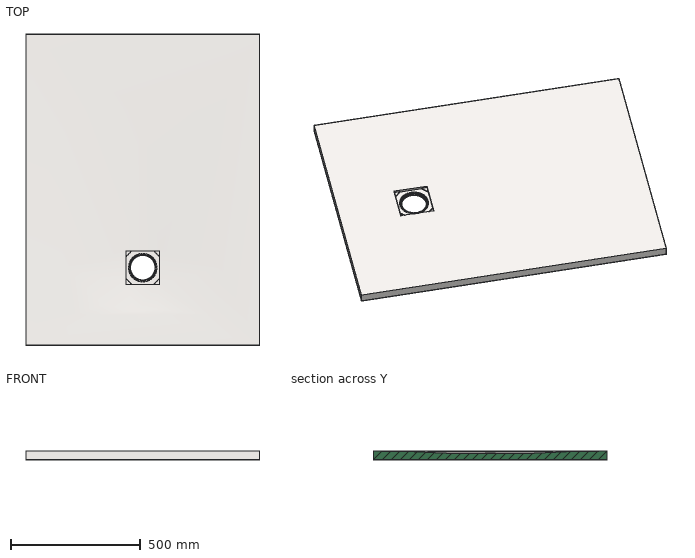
import cadquery as cq
import math

WIDTH = 900.0
LENGTH = 1200.0
HEIGHT = 35.0

DISH_DEPTH = 15.0
DRAIN_Y = -300.0
SURFACE_STEPS = 24
SURFACE_TOLERANCE = 0.01

RECESS_SIDE = 130.0
RECESS_DEPTH = 8.0
CORNER_DEPTH = 6.0
CORNER_LEG = 23.0

HOLE_DIAMETER = 95.0
TOOTH_TIP_DIAMETER = 103.0
TOOTH_ROOT_DIAMETER = 110.0
TOOTH_HEIGHT = 7.0
TOOTH_COUNT = 36

rim_z = HEIGHT - DISH_DEPTH
corner_z = rim_z - CORNER_DEPTH
floor_z = rim_z - RECESS_DEPTH
ledge_z = floor_z - TOOTH_HEIGHT


def dish_height(x, y):
    """Top height: a smooth bowl that rises from the drain to full height at the rim."""
    end_y = math.copysign(LENGTH / 2, y - DRAIN_Y)
    across = math.cos(math.pi / 2 * x / (WIDTH / 2)) ** 2
    along = math.cos(math.pi / 2 * (y - DRAIN_Y) / (end_y - DRAIN_Y)) ** 2
    return HEIGHT - DISH_DEPTH * across * along


def centered_steps(length):
    """Evenly spaced positions over a length centred on zero."""
    return [length * (i / SURFACE_STEPS - 0.5) for i in range(SURFACE_STEPS + 1)]


def dished_plate():
    """Plate whose whole top is one smooth bowl surface."""
    points = [
        [cq.Vector(x, y, dish_height(x, y)) for y in centered_steps(LENGTH)]
        for x in centered_steps(WIDTH)
    ]
    top = cq.Face.makeSplineApprox(points, tol=SURFACE_TOLERANCE, minDeg=3, maxDeg=5)
    column = cq.Workplane(cq.Solid.extrudeLinear(top, cq.Vector(0, 0, -2 * HEIGHT)))
    below_base = cq.Workplane().box(2 * WIDTH, 2 * LENGTH, 4 * HEIGHT).translate((0, 0, -2 * HEIGHT))
    return column.cut(below_base)


def drain_plane(z):
    """Horizontal workplane centred on the drain."""
    return cq.Workplane(origin=(0, DRAIN_Y, z))


def corner_level_pocket():
    """Full square pocket down to the corner ledges."""
    return drain_plane(corner_z).rect(RECESS_SIDE, RECESS_SIDE).extrude(HEIGHT)


def floor_level_pocket():
    """Square pocket down to the floor, with cut-off corners that leave the ledges."""
    pocket = drain_plane(floor_z).rect(RECESS_SIDE, RECESS_SIDE).extrude(HEIGHT)
    return pocket.edges("|Z").chamfer(CORNER_LEG)


def polar(diameter, angle):
    return (diameter / 2 * math.cos(angle), diameter / 2 * math.sin(angle))


def toothed_opening():
    """Opening whose wall alternates between tooth tips and gaps of equal angle."""
    half_width = math.pi / TOOTH_COUNT / 2
    outline = []
    for i in range(TOOTH_COUNT):
        gap_angle = 2 * math.pi * (i + 0.5) / TOOTH_COUNT
        outline += [
            polar(TOOTH_ROOT_DIAMETER, gap_angle - half_width),
            polar(TOOTH_ROOT_DIAMETER, gap_angle + half_width),
            polar(TOOTH_TIP_DIAMETER, gap_angle + half_width),
            polar(TOOTH_TIP_DIAMETER, gap_angle + 3 * half_width),
        ]
    return drain_plane(ledge_z).polyline(outline).close().extrude(HEIGHT)


def drain_hole():
    return drain_plane(0).circle(HOLE_DIAMETER / 2).extrude(HEIGHT)


result = dished_plate()
for cutter in (corner_level_pocket(), floor_level_pocket(), toothed_opening(), drain_hole()):
    result = result.cut(cutter)